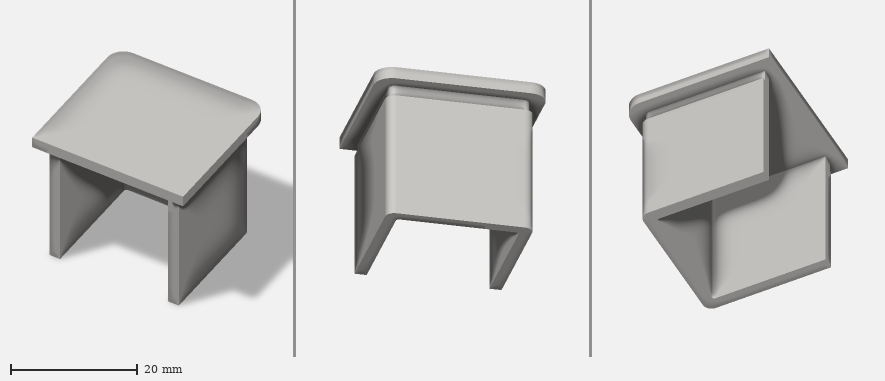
import cadquery as cq

plate_width = 28.0
plate_depth = 26.0
total_height = 25.0
plate_thickness = 2.0
plate_corner_radius = 3.0

plate_overhang = 2.0
wall_thickness = 2.0
wall_outer_radius = 1.5
wall_inner_radius = 0.5

groove_height = 2.0
groove_depth = 0.5

wall_height = total_height - plate_thickness
wall_width = plate_width - 2 * plate_overhang
wall_depth = plate_depth - 2 * plate_overhang
front_y = -wall_depth / 2


def rounded_block(width, front, back, bottom, height, radius):
    """Block centred on X whose two vertical edges on the +Y side are rounded."""
    return (
        cq.Workplane("XY")
        .box(width, back - front, height, centered=(True, False, False))
        .edges("|Z and >Y")
        .fillet(radius)
        .translate((0, front, bottom))
    )


def wall_block(inset, bottom, height, radius):
    """Rounded block set in from the wall's outer sides and back, flush at its open end."""
    return rounded_block(wall_width - 2 * inset, front_y, -front_y - inset, bottom, height, radius)


plate = rounded_block(
    plate_width, -plate_depth / 2, plate_depth / 2, wall_height, plate_thickness, plate_corner_radius
)

lower_wall = wall_block(0, 0, wall_height - groove_height, wall_outer_radius)
neck = wall_block(
    groove_depth, wall_height - groove_height, groove_height, wall_outer_radius - groove_depth
)
cavity = wall_block(wall_thickness, 0, wall_height, wall_inner_radius)

result = lower_wall.union(neck).cut(cavity).union(plate)